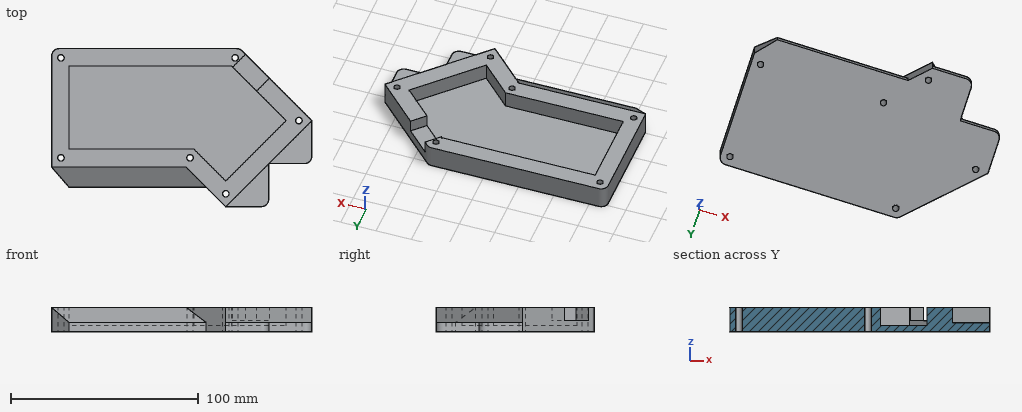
import cadquery as cq
import math

length = 138.8
width = 84.4
height = 13.0
corner_radius = 4.0

shoulder_y = 21.1
tip_y = 46.0
wing_foot_x = length - tip_y
elbow_x = wing_foot_x - shoulder_y
back_corner_x = length + tip_y - width

straight_wall = 9.3
front_wall = 9.6
wing_wall = 9.7
floor_thickness = 3.5

notch_length = 18.0
notch_depth = 7.1
notch_end_x = 116.2

apron_end_y = 10.4
apron_inset = 9.3
plate_thickness = 5.0
tab_size = tip_y / 2

hole_diameter = 3.3
hole_inset = 5.0
wing_hole_inset = 7.0
back_hole_setback = 2.5

diagonal = math.sqrt(2)


def prism(points, bottom, top):
    """Vertical prism with the given plan outline."""
    return cq.Workplane("XY").workplane(offset=bottom).polyline(points).close().extrude(top - bottom)


def make_body():
    outline = [
        (0, shoulder_y),
        (elbow_x, shoulder_y),
        (wing_foot_x, 0),
        (length, tip_y),
        (back_corner_x, width),
        (0, width),
    ]
    return prism(outline, 0, height).edges("|Z and >Y").fillet(corner_radius)


def make_pocket():
    front_y = shoulder_y + front_wall
    back_y = width - straight_wall
    tip_inset = wing_wall * diagonal
    inner_elbow_x = wing_foot_x + tip_inset - front_y
    inner_back_x = length - tip_inset + tip_y - back_y
    outline = [
        (straight_wall, front_y),
        (inner_elbow_x, front_y),
        (wing_foot_x, tip_inset),
        (length - tip_inset, tip_y),
        (inner_back_x, back_y),
        (straight_wall, back_y),
    ]
    return prism(outline, floor_thickness, height)


def make_notch():
    along = notch_length / diagonal
    across = wing_wall / diagonal
    end_y = length + tip_y - notch_end_x
    outline = [
        (notch_end_x - across, end_y - across),
        (notch_end_x + across, end_y + across),
        (notch_end_x - along + across, end_y + along + across),
        (notch_end_x - along - across, end_y + along - across),
    ]
    return prism(outline, height - notch_depth, height)


def make_apron():
    profile = [
        (shoulder_y, 0),
        (apron_end_y, 0),
        (apron_end_y, plate_thickness),
        (shoulder_y, height),
    ]
    slope = cq.Workplane("YZ").polyline(profile).close().extrude(wing_foot_x)
    plan = [
        (0, shoulder_y),
        (apron_inset, apron_end_y),
        (wing_foot_x - apron_end_y, apron_end_y),
        (elbow_x, shoulder_y),
    ]
    return slope.intersect(prism(plan, 0, height))


def make_tab(x, y):
    """Triangular foot tab whose long side lies on the wing's end face."""
    outline = [(x, y), (x + tab_size, y), (x + tab_size, y + tab_size)]
    tab = prism(outline, 0, plate_thickness)
    outer_corner = cq.selectors.NearestToPointSelector((x + tab_size, y, plate_thickness / 2))
    return tab.edges("|Z").edges(outer_corner).fillet(corner_radius)


hole_centers = [
    (hole_inset, width - hole_inset),
    (back_corner_x - back_hole_setback, width - hole_inset),
    (length - wing_hole_inset, tip_y),
    (hole_inset, shoulder_y + hole_inset),
    (elbow_x + hole_inset * math.tan(math.pi / 8), shoulder_y + hole_inset),
    (wing_foot_x, wing_hole_inset),
]
holes = cq.Workplane("XY").pushPoints(hole_centers).circle(hole_diameter / 2).extrude(height)

result = make_body().union(make_apron())
for step in range(2):
    result = result.union(make_tab(wing_foot_x + step * tab_size, step * tab_size))
result = result.cut(make_pocket()).cut(make_notch()).cut(holes)